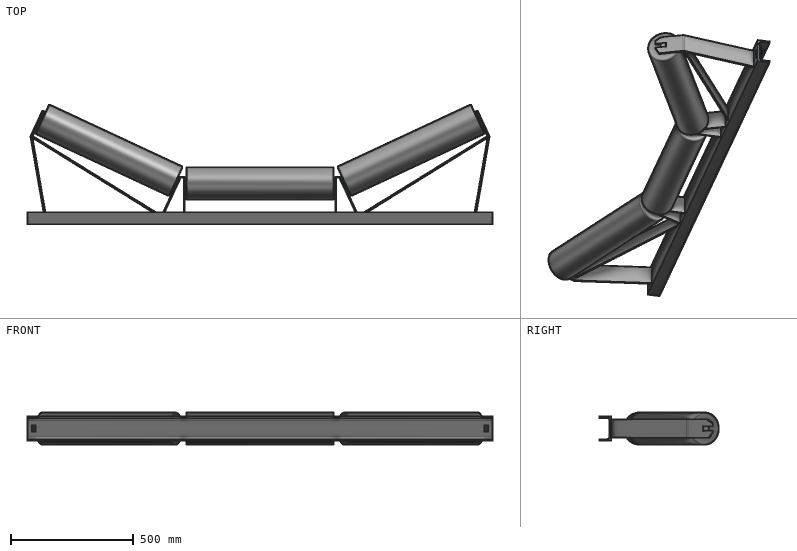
import cadquery as cq
import math

beam_length = 1900.0
beam_height = 100.0
flange_depth = 50.0
web_thickness = 8.0
flange_thickness = 7.0
root_radius = 9.0
mount_slot_width = 17.0
mount_slot_height = 28.0
mount_slot_inset = 26.0

roller_diameter = 133.0
roller_length = 602.0
rim_fillet = 4.0
shaft_diameter = 25.0
shaft_flat_width = 18.0
trough_angle = 25.0
overall_depth = 488.87
centre_axis_y = 117.0
side_roller_x = 616.0

strap_width = 75.0
brace_width = 50.0
end_gap = 6.0
arm_thickness = 8.0
arm_foot_x = 884.0
arm_bend_drop = 85.0
arm_tip_rise = 32.0
arm_tip_chamfer_height = 25.0
arm_tip_chamfer_width = 15.0
arm_bend_radius = 12.0
brace_thickness = 6.0
brace_foot_x = 426.0
saddle_thickness = 5.0
saddle_top_y = 145.0
saddle_bend_radius = 6.0

tilt = math.radians(trough_angle)
roller_radius = roller_diameter / 2
shaft_radius = shaft_diameter / 2
rim_rise = (
    (roller_length / 2 - rim_fillet) * math.sin(tilt)
    + (roller_radius - rim_fillet) * math.cos(tilt)
    + rim_fillet
)
side_roller_y = overall_depth - flange_depth - rim_rise
inner_reach = roller_length / 2 + end_gap + saddle_thickness
outer_reach = roller_length / 2 + end_gap + arm_thickness


def side_point(along, up):
    """Point in the tilted frame of the right-hand side roller."""
    x = side_roller_x + along * math.cos(tilt) - up * math.sin(tilt)
    y = side_roller_y + along * math.sin(tilt) + up * math.cos(tilt)
    return x, y


def tilt_point_at_height(along, y):
    """Point at height y on the line square to the side roller axis."""
    up = (y - side_roller_y - along * math.sin(tilt)) / math.cos(tilt)
    return side_point(along, up)


def place_side(body):
    """Move a body from the roller frame to the right-hand side roller."""
    return body.rotate((0, 0, 0), (0, 0, 1), trough_angle).translate((side_roller_x, side_roller_y, 0))


def strap(points, width):
    """Flat strap with the given XY edge outline, centred on Z = 0."""
    base = cq.Workplane("XY", origin=(0, 0, -width / 2))
    return base.polyline(points).close().extrude(width)


def rod(radius, start, end):
    """Round bar along X."""
    return cq.Workplane("YZ", origin=(start, 0, 0)).circle(radius).extrude(end - start)


def make_roller():
    half = roller_length / 2
    shell = rod(roller_radius, -half, half).edges().fillet(rim_fillet)
    return shell.cut(rod(shaft_radius, -half, half))


def make_shaft(left_reach, right_reach):
    """Round shaft with two flats on each end, where it sits in a support."""
    shoulder = roller_length / 2 + end_gap
    flats = cq.Workplane("XY").box(2 * outer_reach, shaft_diameter, shaft_flat_width)
    flatted_bar = rod(shaft_radius, -left_reach, right_reach).intersect(flats)
    return flatted_bar.union(rod(shaft_radius, -shoulder, shoulder))


def shaft_slot(x, thickness):
    """Cutter for a slot open to +Y whose flat bottom carries the shaft."""
    opening = cq.Workplane("XY").box(thickness, strap_width, shaft_flat_width, centered=(False, False, True))
    return opening.translate((x, -shaft_radius, 0))


def make_channel():
    half = beam_height / 2
    inner = half - flange_thickness
    outline = [
        (0, -half), (0, half), (-flange_depth, half), (-flange_depth, inner),
        (-web_thickness, inner), (-web_thickness, -inner), (-flange_depth, -inner), (-flange_depth, -half),
    ]
    end = cq.Workplane("YZ", origin=(-beam_length / 2, 0, 0))
    channel = end.polyline(outline).close().extrude(beam_length)
    for side in (-1, 1):
        root = cq.NearestToPointSelector((0, -web_thickness, side * inner))
        channel = channel.edges(root).fillet(root_radius)
    slot_x = beam_length / 2 - mount_slot_inset
    slots = cq.Workplane("XZ").pushPoints([(-slot_x, 0), (slot_x, 0)])
    slots = slots.rect(mount_slot_width, mount_slot_height).extrude(web_thickness)
    return channel.cut(slots)


def make_arm():
    """Outer support: a leaning leg, bent to stand square to the side roller axis."""
    face = outer_reach - arm_thickness
    bend = side_point(outer_reach, -arm_bend_drop)
    lean = math.atan2(bend[0] - arm_foot_x, bend[1])
    foot_width = arm_thickness / math.cos(lean)
    mitre = arm_thickness * math.tan((tilt + lean) / 2)
    inner_bend = side_point(face, mitre - arm_bend_drop)
    arm = strap([
        (arm_foot_x, 0), bend, side_point(outer_reach, arm_tip_rise),
        side_point(face, arm_tip_rise), inner_bend, (arm_foot_x - foot_width, 0),
    ], strap_width)
    arm = arm.edges(cq.NearestToPointSelector((*bend, 0))).fillet(arm_bend_radius)
    arm = arm.edges(cq.NearestToPointSelector((*inner_bend, 0))).fillet(arm_bend_radius - arm_thickness)
    tip_middle = side_point(outer_reach - arm_thickness / 2, arm_tip_rise)
    for side in (-1, 1):
        corner = cq.NearestToPointSelector((*tip_middle, side * strap_width / 2))
        arm = arm.edges(corner).chamfer(arm_tip_chamfer_width, arm_tip_chamfer_height)
    return arm.cut(place_side(shaft_slot(face, arm_thickness)))


def make_brace():
    """Diagonal strap from the channel up to the bend of the arm."""
    top = side_point(outer_reach - arm_thickness / 2, -arm_bend_drop)
    slope = math.atan2(top[1], top[0] - brace_foot_x)
    foot_width = brace_thickness / math.sin(slope)
    rise = brace_thickness * math.cos(slope)
    shift = brace_thickness * math.sin(slope)
    upper_top = (top[0] - shift, top[1] + rise)
    foot_end = (brace_foot_x + foot_width, 0)
    return strap([(brace_foot_x, 0), foot_end, top, upper_top], brace_width)


def make_saddle():
    """Inner support: an upright leg, a short top and a leg square to the side roller axis."""
    upright_x = roller_length / 2 + end_gap
    face = -inner_reach + saddle_thickness
    inside_y = saddle_top_y - saddle_thickness
    left_corner = (upright_x, saddle_top_y)
    right_corner = tilt_point_at_height(face, saddle_top_y)
    saddle = strap([
        (upright_x, 0), left_corner, right_corner, tilt_point_at_height(face, 0),
        tilt_point_at_height(-inner_reach, 0), tilt_point_at_height(-inner_reach, inside_y),
        (inner_reach, inside_y), (inner_reach, 0),
    ], strap_width)
    for corner in (left_corner, right_corner):
        saddle = saddle.edges(cq.NearestToPointSelector((*corner, 0))).fillet(saddle_bend_radius)
    upright_slot = shaft_slot(upright_x, saddle_thickness).translate((0, centre_axis_y, 0))
    return saddle.cut(upright_slot).cut(place_side(shaft_slot(-inner_reach, saddle_thickness)))


def make_frame():
    """Channel with both sets of supports welded on as one body."""
    welded = make_channel()
    for support in (make_arm(), make_brace(), make_saddle()):
        welded = welded.union(support).union(support.mirror("YZ"))
    return welded


frame = make_frame()
rollers = [make_roller().translate((0, centre_axis_y, 0))]
shafts = [make_shaft(inner_reach, inner_reach).translate((0, centre_axis_y, 0))]
right_roller = place_side(make_roller())
right_shaft = place_side(make_shaft(inner_reach, outer_reach))
rollers += [right_roller, right_roller.mirror("YZ")]
shafts += [right_shaft, right_shaft.mirror("YZ")]

bodies = [body.solids().val() for body in (frame, *rollers, *shafts)]
result = cq.Compound.makeCompound(bodies)